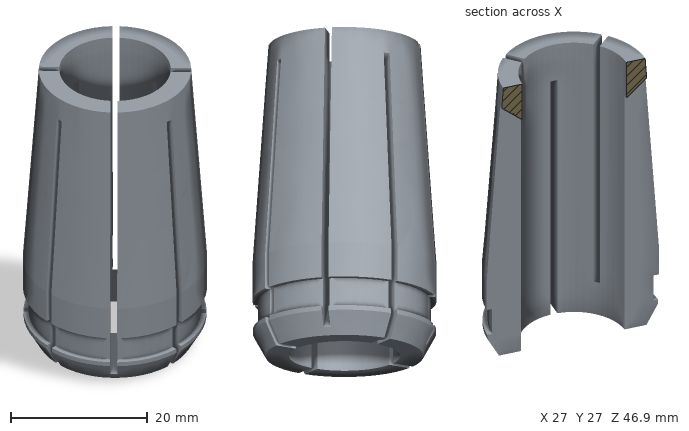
import cadquery as cq

length = 46.85
bore_radius = 8.15
nose_radius = 11.15
body_radius = 13.5
groove_radius = 12.65
flange_radius = 13.4
base_radius = 11.55

chamfer_top = 3.33
flange_top = 4.05
groove_top = 8.35
taper_start = 13.6

slit_width = 1.05
slit_reach = body_radius + 0.95
slits_per_end = 4
slit_pitch = 360.0 / slits_per_end

upward_end_inner = 40.55
upward_end_outer = 43.3
upward_end_radius = 11.35
downward_end_inner = 5.6
downward_end_outer = 1.1
downward_end_radius = 12.2


def make_sleeve():
    """Revolve the collet wall around Z."""
    return (
        cq.Workplane("XZ")
        .polyline([
            (bore_radius, 0),
            (base_radius, 0),
            (flange_radius, chamfer_top),
            (flange_radius, flange_top),
            (groove_radius, flange_top),
            (groove_radius, groove_top),
            (body_radius, groove_top),
            (body_radius, taper_start),
            (nose_radius, length),
            (bore_radius, length),
        ])
        .close()
        .revolve(360, (0, 0, 0), (0, 1, 0))
    )


def make_slit(open_z, inner_z, outer_z, outer_radius, angle):
    """Radial slit from the open end to a sloping end that passes through the two given heights."""
    slope = (outer_z - inner_z) / (outer_radius - bore_radius)
    axis_z = inner_z - slope * bore_radius
    reach_z = inner_z + slope * (slit_reach - bore_radius)
    return (
        cq.Workplane("XZ")
        .polyline([(0, open_z), (slit_reach, open_z), (slit_reach, reach_z), (0, axis_z)])
        .close()
        .extrude(slit_width / 2, both=True)
        .rotate((0, 0, 0), (0, 0, 1), angle)
    )


result = make_sleeve()
for index in range(slits_per_end):
    angle = index * slit_pitch
    result = result.cut(
        make_slit(0, upward_end_inner, upward_end_outer, upward_end_radius, angle)
    )
    result = result.cut(
        make_slit(length, downward_end_inner, downward_end_outer, downward_end_radius,
                  angle + slit_pitch / 2)
    )